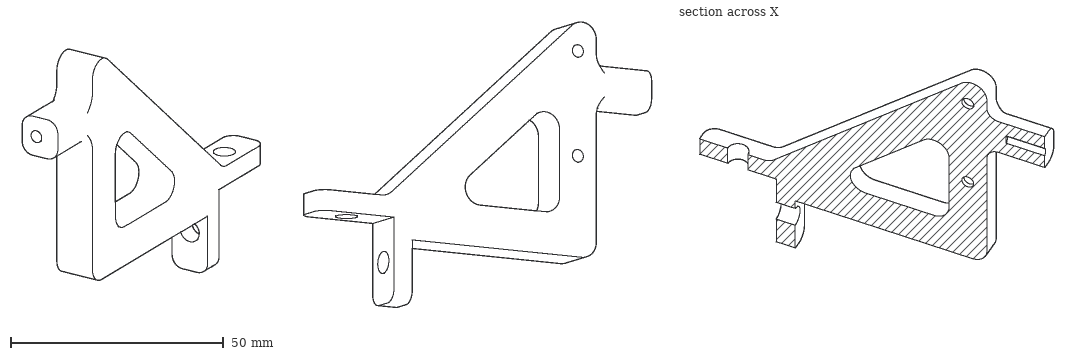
import cadquery as cq
import math


width = 10.0
total_length = 90.0
total_height = 71.2

tab_drop = 15.0
tab_thickness = width / 2
tab_corner_radius = 3.0
tab_hole_diameter = 5.2
tab_hole_inset = 10.0

slope_angle = math.radians(42)
corner_radius = 4.0
rail_width = 10.0
step_y = 55.0
window_height = 23.85

boss_length = 15.0
boss_size = width
boss_corner_radius = 3.0
boss_root_fillet = 3.0
boss_center_z = 41.7
pad_depth = 0.9

screw_hole_diameter = 3.0
screw_hole_depth = 6.0
boss_hole_depth = 10.0
boss_hole_offset = -1.0
side_hole_y = 5.0
side_hole_above_boss = 7.5
side_hole_spacing = 25.0

pick_reach = 0.1

back_y = total_length - boss_length
top_z = total_height - tab_drop
tab_top_z = rail_width
tab_bottom_z = tab_top_z - tab_thickness
step_front_y = step_y - tab_thickness


def sharp_peak(rounded_top):
    """Height of the sharp peak between a vertical edge and the slope, before it is rounded."""
    peak_angle = math.pi / 2 - slope_angle
    return rounded_top - corner_radius + corner_radius / math.tan(peak_angle / 2)


def slope_foot(peak_z, peak_y):
    """Y where the slope that starts at the peak comes down to the top of the tab."""
    return peak_y + (peak_z - tab_top_z) / math.tan(slope_angle)


def extrude_profile(points):
    return cq.Workplane("YZ").polyline(points).close().extrude(width / 2, both=True)


def round_corner(body, y, z):
    """Round the corner that runs along X through the given place."""
    picker = cq.selectors.BoxSelector(
        (-pick_reach, y - pick_reach, z - pick_reach),
        (pick_reach, y + pick_reach, z + pick_reach),
    )
    return body.edges("|X").edges(picker).fillet(corner_radius)


def make_plate():
    peak_z = sharp_peak(top_z)
    foot_y = slope_foot(peak_z, 0)
    plate = extrude_profile([
        (0, 0),
        (0, peak_z),
        (foot_y, tab_top_z),
        (back_y, tab_top_z),
        (back_y, tab_bottom_z),
        (step_y, tab_bottom_z),
        (step_y, -tab_drop),
        (step_front_y, -tab_drop),
        (step_front_y, 0),
    ])
    for y, z in [(0, 0), (0, peak_z), (foot_y, tab_top_z)]:
        plate = round_corner(plate, y, z)

    plate = plate.faces(">Y").edges("|Z").fillet(tab_corner_radius)
    return plate.faces("<Z").edges("|Y").fillet(tab_corner_radius)


def make_window():
    peak_z = sharp_peak(tab_top_z + window_height)
    window = extrude_profile([
        (rail_width, tab_top_z),
        (rail_width, peak_z),
        (slope_foot(peak_z, rail_width), tab_top_z),
    ])
    return window.edges("|X").fillet(corner_radius)


def make_boss():
    """Rounded square boss with a flared root that is trimmed flush with the plate sides."""
    flare_size = boss_size + 2 * boss_root_fillet
    pad_size = flare_size + 2 * boss_root_fillet
    boss = (
        cq.Workplane("XZ")
        .center(0, boss_center_z)
        .rect(boss_size, boss_size)
        .extrude(boss_length)
        .edges("|Y")
        .fillet(boss_corner_radius)
    )
    pad = (
        cq.Workplane("XZ")
        .center(0, boss_center_z)
        .rect(pad_size, pad_size)
        .extrude(-pad_depth)
    )
    flared = pad.union(boss)
    root_reach = flare_size / 2
    root = cq.selectors.BoxSelector(
        (-root_reach, -pad_depth / 2, boss_center_z - root_reach),
        (root_reach, pad_depth / 2, boss_center_z + root_reach),
    )
    flared = flared.edges(root).fillet(boss_root_fillet)
    envelope = (
        cq.Workplane("XZ")
        .center(0, boss_center_z)
        .rect(width, flare_size)
        .extrude(boss_length)
    )
    return flared.intersect(envelope)


def drill(place, direction, diameter, depth):
    return cq.Workplane(cq.Solid.makeCylinder(
        diameter / 2, depth, cq.Vector(*place), cq.Vector(*direction)
    ))


result = make_plate().cut(make_window()).union(make_boss())

result = result.cut(drill(
    (0, back_y - tab_hole_inset, tab_bottom_z), (0, 0, 1), tab_hole_diameter, tab_thickness
))
result = result.cut(drill(
    (0, step_front_y, tab_hole_inset - tab_drop), (0, 1, 0), tab_hole_diameter, tab_thickness
))

result = result.cut(drill(
    (boss_hole_offset, -boss_length, boss_center_z), (0, 1, 0), screw_hole_diameter, boss_hole_depth
))

upper_hole_z = boss_center_z + side_hole_above_boss
for hole_z in (upper_hole_z, upper_hole_z - side_hole_spacing):
    result = result.cut(drill(
        (-width / 2, side_hole_y, hole_z), (1, 0, 0), screw_hole_diameter, screw_hole_depth
    ))